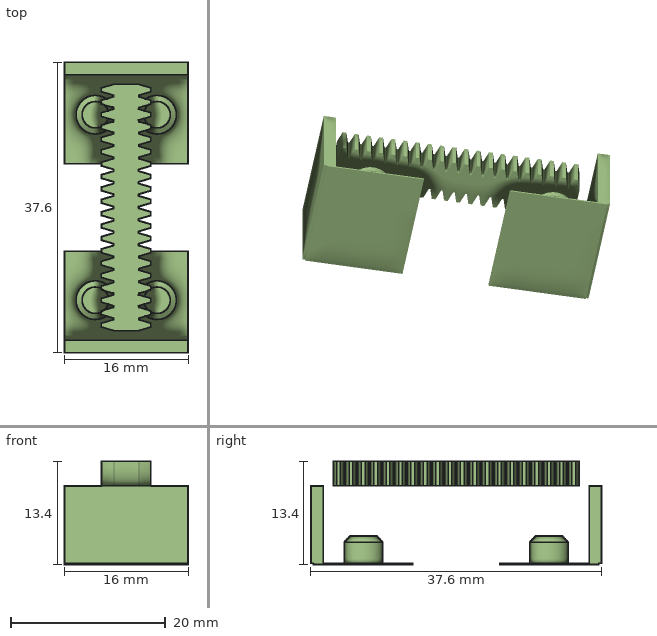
import cadquery as cq

overall_length = 37.6
bracket_width = 16.0

plate_thickness = 0.2
bracket_gap = 11.28
wall_thickness = 1.6
wall_height = 10.0
wall_overhang = 0.35
pin_diameter = 5.0
pin_height = 3.55
pin_chamfer = 0.8
pin_offset_x = 4.0
pin_offset_y = 12.0

tooth_count = 20
rack_length = 31.85
root_gap = 0.2
tip_width = 0.5
tooth_depth = 1.58
rack_width = 6.4
rack_thickness = 3.2

wall_top = plate_thickness + wall_height
outer_end = overall_length / 2
tooth_pitch = (rack_length + root_gap) / tooth_count
tooth_base = tooth_pitch - root_gap


def make_bracket():
    """Bracket at the -Y end, with its pins joined to the floor plate."""
    plate_start = -outer_end + wall_overhang
    plate_length = -bracket_gap / 2 - plate_start
    plate = cq.Workplane("XY").box(
        bracket_width, plate_length, plate_thickness, centered=(True, False, False)
    ).translate((0, plate_start, 0))

    wall = cq.Workplane("XY").box(
        bracket_width, wall_thickness, wall_height, centered=(True, False, False)
    ).translate((0, -outer_end, plate_thickness))

    pins = (
        cq.Workplane("XY", origin=(0, -pin_offset_y, plate_thickness))
        .pushPoints([(-pin_offset_x, 0), (pin_offset_x, 0)])
        .circle(pin_diameter / 2)
        .extrude(pin_height)
        .faces(">Z")
        .chamfer(pin_chamfer)
    )
    return plate.union(wall).union(pins)


def tooth_side_points():
    """Points along the +X side of the rack, from the -Y end to the +Y end."""
    tip_x = rack_width / 2
    root_x = tip_x - tooth_depth
    points = []
    for index in range(tooth_count):
        middle = -rack_length / 2 + tooth_base / 2 + index * tooth_pitch
        points += [
            (root_x, middle - tooth_base / 2),
            (tip_x, middle - tip_width / 2),
            (tip_x, middle + tip_width / 2),
            (root_x, middle + tooth_base / 2),
        ]
    return points


def make_rack():
    """Flat bar with matching rows of teeth on its -X and +X sides."""
    right_side = tooth_side_points()
    left_side = [(-x, y) for x, y in reversed(right_side)]
    return (
        cq.Workplane("XY", origin=(0, 0, wall_top))
        .polyline(right_side + left_side)
        .close()
        .extrude(rack_thickness)
    )


brackets = []
for turn in (0, 180):
    bracket = make_bracket().rotate((0, 0, 0), (0, 0, 1), turn)
    brackets.append(bracket.solids().val())

rack = make_rack()

result = cq.Compound.makeCompound([*brackets, rack.val()])